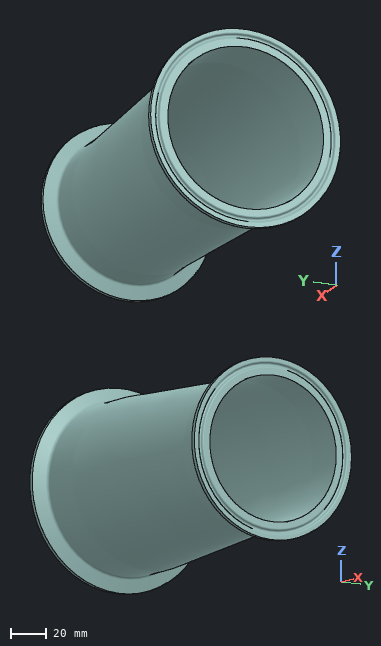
import cadquery as cq
import math

length = 167.0
large_outer, large_bore, large_flange = 101.5, 97.5, 119.0
small_outer, small_bore, small_flange = 89.2, 85.2, 106.0
large_straight = 32.0
small_straight = 25.0

rim_width = 2.8
back_angle = math.radians(22)
blend_radius = 2.0
groove_inset = 4.5
groove_mouth = 4.0
groove_depth = 1.5
lip_radius = 1.0

half_mouth = groove_mouth / 2
arc_spacing = (half_mouth**2 + groove_depth**2) / (2 * groove_depth)
floor_radius = arc_spacing - lip_radius
lip_turn = math.asin(half_mouth / arc_spacing)


def revolve_about_x(profile):
    return profile.close().revolve(360, (0, 0, 0), (1, 0, 0))


def pipe(large_diameter, small_diameter):
    """Solid of two straight ends joined by a cone."""
    return revolve_about_x(
        cq.Workplane("XY")
        .lineTo(0, large_diameter / 2)
        .lineTo(large_straight, large_diameter / 2)
        .lineTo(length - small_straight, small_diameter / 2)
        .lineTo(length, small_diameter / 2)
        .lineTo(length, 0)
    )


def lip_point(turn):
    """Depth and sideways travel along a lip arc that leaves the end face."""
    return lip_radius * (1 - math.cos(turn)), lip_radius * math.sin(turn)


def gasket_groove(radius):
    """Ring cutter with a round floor and rounded mouth edges."""
    mid_depth, mid_travel = lip_point(lip_turn / 2)
    end_depth, end_travel = lip_point(lip_turn)
    inner = radius - half_mouth
    outer = radius + half_mouth
    return revolve_about_x(
        cq.Workplane("XY")
        .moveTo(0, inner)
        .threePointArc((mid_depth, inner + mid_travel), (end_depth, inner + end_travel))
        .threePointArc((groove_depth, radius), (end_depth, outer - end_travel))
        .threePointArc((mid_depth, outer - mid_travel), (0, outer))
    )


def flange(flange_diameter, pipe_diameter):
    """Clamp flange with its end face at X = 0, facing -X."""
    pipe_radius = pipe_diameter / 2
    flange_radius = flange_diameter / 2

    corner_x = rim_width + (flange_radius - pipe_radius) * math.tan(back_angle)
    blend_turn = math.pi / 2 - back_angle
    tangent_length = blend_radius * math.tan(blend_turn / 2)
    neck_x = corner_x + tangent_length
    back_x = corner_x - tangent_length * math.sin(back_angle)
    back_radius = pipe_radius + tangent_length * math.cos(back_angle)
    blend_mid = (
        neck_x - blend_radius * math.sin(blend_turn / 2),
        pipe_radius + blend_radius * (1 - math.cos(blend_turn / 2)),
    )
    blank = revolve_about_x(
        cq.Workplane("XY")
        .lineTo(0, flange_radius)
        .lineTo(rim_width, flange_radius)
        .lineTo(back_x, back_radius)
        .threePointArc(blend_mid, (neck_x, pipe_radius))
        .lineTo(neck_x, 0)
    )
    return blank.cut(gasket_groove(flange_radius - groove_inset))


large_ferrule = flange(large_flange, large_outer)
small_ferrule = flange(small_flange, small_outer).mirror("YZ").translate((length, 0, 0))
body = pipe(large_outer, small_outer).union(large_ferrule).union(small_ferrule)
result = body.cut(pipe(large_bore, small_bore))